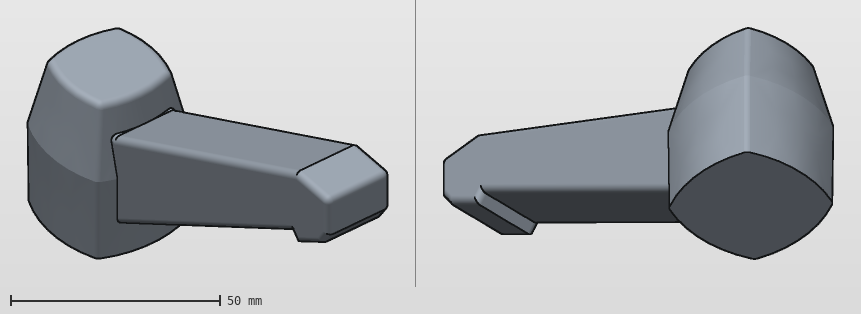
import cadquery as cq
import math

waist_half_width = 17.2
waist_corner = 14.1
base_half_width = 17.0
top_half_width = 12.5
waist_height = 24.0
hub_height = 44.2
hub_fillet = 2.0

overall_length = 117.2
handle_width = 18.8
handle_fillet = 1.8
start_x = 7.0
climb_x = 14.4
climb_height = 35.8
crest_x = 87.0
tip_x = overall_length - waist_half_width
tip_height = 73.5
tip_bottom = 62.4
underside_slope = 0.64
notch = (85.6, 54.3)
hook_point = (87.7, 51.9)
hook_nose = (97.3, 58.1)


def waist_outline():
    """Waist outline of the hub, made of four outward arcs."""
    side = waist_half_width
    corner = waist_corner
    return (
        cq.Workplane("XY", origin=(0, 0, waist_height))
        .moveTo(corner, -corner)
        .threePointArc((side, 0), (corner, corner))
        .threePointArc((0, side), (-corner, corner))
        .threePointArc((-side, 0), (-corner, -corner))
        .threePointArc((0, -side), (corner, -corner))
        .close()
    )


def taper_to(half_width, distance):
    """Taper in degrees that narrows the waist to half_width over the distance."""
    return math.degrees(math.atan2(waist_half_width - half_width, distance))


def make_hub():
    rise = hub_height - waist_height
    upper = waist_outline().extrude(rise, taper=taper_to(top_half_width, rise))
    lower = waist_outline().extrude(-waist_height, taper=taper_to(base_half_width, waist_height))
    hub = upper.union(lower)
    corner_edges = "%BSPLINE"
    top_edges = ">Z"
    return hub.edges(f"{corner_edges} or {top_edges}").fillet(hub_fillet)


def make_handle():
    notch_x, notch_height = notch
    start_bottom = notch_height - underside_slope * (notch_x - start_x)
    profile = [
        (start_x, start_bottom),
        notch,
        hook_point,
        hook_nose,
        (tip_x, tip_bottom),
        (tip_x, tip_height),
        (crest_x, tip_height),
        (climb_x, climb_height),
        (start_x, climb_height),
    ]
    bar = cq.Workplane("XZ").polyline(profile).close().extrude(handle_width / 2, both=True)
    bar = bar.faces(">X").edges(">Z").fillet(handle_fillet)
    return bar.faces("|Y").edges("not <X").fillet(handle_fillet)


result = make_hub().union(make_handle())